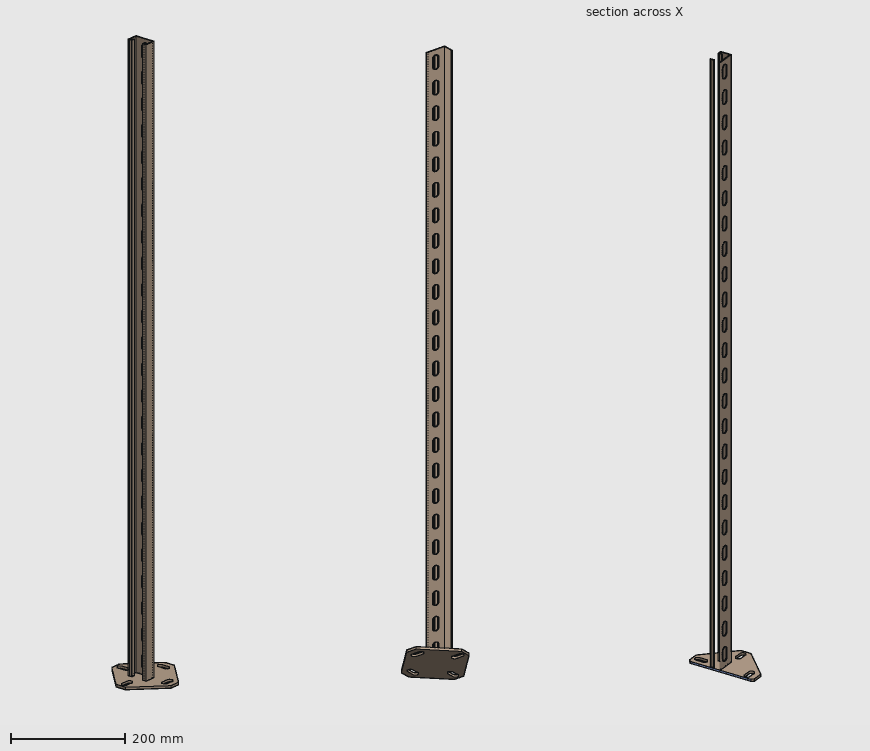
import cadquery as cq

square_side = 110.0
corner_cut = 15.0
plate_thickness = 5.0

plate_slot_length = 25.0
plate_slot_width = 11.0
plate_slot_offset = 50.0

channel_height = 1200.0
channel_width = 41.0
channel_depth = 22.0
channel_back_y = -0.5
wall = 2.0
lip_width = 8.5
lip_return = 7.5

slot_length = 28.0
slot_width = 14.0
slot_pitch = 50.0
first_slot = slot_pitch / 2
slot_count = int(channel_height / slot_pitch)


def make_base_plate():
    plate = (
        cq.Workplane("XY")
        .rect(square_side, square_side)
        .extrude(plate_thickness)
        .edges("|Z")
        .chamfer(corner_cut)
        .rotate((0, 0, 0), (0, 0, 1), 45)
    )
    radial_slots = [(-plate_slot_offset, 0, 0), (0, -plate_slot_offset, 90)]
    crosswise_slots = [(plate_slot_offset, 0, 90), (0, plate_slot_offset, 0)]
    for x, y, angle in radial_slots + crosswise_slots:
        slot = (
            cq.Workplane("XY")
            .center(x, y)
            .slot2D(plate_slot_length, plate_slot_width, angle)
            .extrude(plate_thickness)
        )
        plate = plate.cut(slot)
    return plate


def make_channel():
    half_width = channel_width / 2
    front_y = channel_back_y - channel_depth
    lip_edge = half_width - lip_width
    lip_top_y = front_y + lip_return

    right_half = [
        (half_width, channel_back_y),
        (half_width, front_y),
        (lip_edge, front_y),
        (lip_edge, lip_top_y),
        (lip_edge + wall, lip_top_y),
        (lip_edge + wall, front_y + wall),
        (half_width - wall, front_y + wall),
        (half_width - wall, channel_back_y - wall),
    ]
    left_half = [(-x, y) for x, y in reversed(right_half)]
    channel = (
        cq.Workplane("XY", origin=(0, 0, plate_thickness))
        .polyline(right_half + left_half)
        .close()
        .extrude(channel_height)
    )

    slot_centres = [(0, plate_thickness + first_slot + slot_pitch * i) for i in range(slot_count)]
    slots = (
        cq.Workplane("XZ", origin=(0, channel_back_y, 0))
        .pushPoints(slot_centres)
        .slot2D(slot_length, slot_width, 90)
        .extrude(wall)
    )
    return channel.cut(slots)


base_plate = make_base_plate()
channel = make_channel()
result = cq.Compound.makeCompound([base_plate.val(), channel.val()])